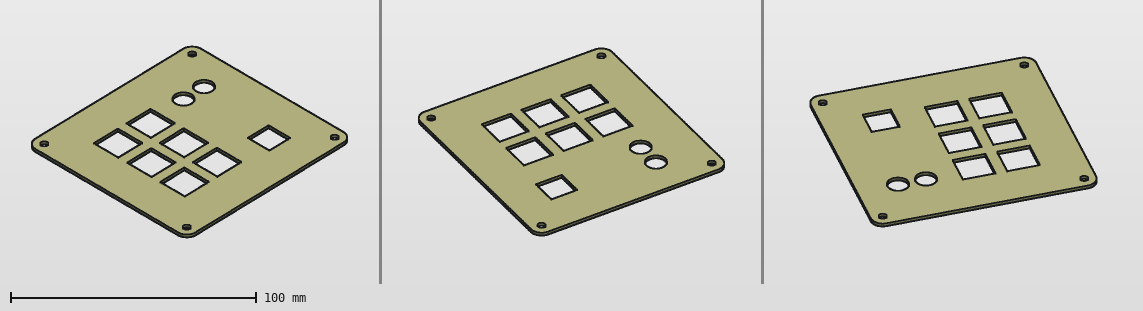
import cadquery as cq

width = 91.5
length = 96.2
thickness = 1.5
corner_radius = 5.1

mount_diameter = 3.4
mount_inset = 5.1

key_size = 13.95
key_pitch = 18.95
key_columns = 3
key_rows = 2
keypad_center = (-0.6, -12.1)

round_diameter = 9.0
round_pitch = 11.9
round_pair_center = (-21.6, 24.5)

window_width = 12.3
window_length = 12.0
window_center = (21.8, 24.0)


def make_plate():
    """Rounded flat plate centred on the origin, resting on Z = 0."""
    plate = cq.Workplane("XY").rect(width, length).extrude(thickness)
    return plate.edges("|Z").fillet(corner_radius)


def rectangular_cutter(size_x, size_y, center):
    return cq.Workplane("XY").center(*center).rect(size_x, size_y).extrude(thickness)


def mounting_cutter():
    span_x = width - 2 * mount_inset
    span_y = length - 2 * mount_inset
    corners = cq.Workplane("XY").rect(span_x, span_y, forConstruction=True).vertices()
    return corners.circle(mount_diameter / 2).extrude(thickness)


def keypad_cutter():
    grid = cq.Workplane("XY").center(*keypad_center)
    grid = grid.rarray(key_pitch, key_pitch, key_columns, key_rows)
    return grid.rect(key_size, key_size).extrude(thickness)


def round_pair_cutter():
    pair = cq.Workplane("XY").center(*round_pair_center)
    pair = pair.pushPoints([(0, -round_pitch / 2), (0, round_pitch / 2)])
    return pair.circle(round_diameter / 2).extrude(thickness)


result = (
    make_plate()
    .cut(mounting_cutter())
    .cut(keypad_cutter())
    .cut(round_pair_cutter())
    .cut(rectangular_cutter(window_width, window_length, window_center))
)